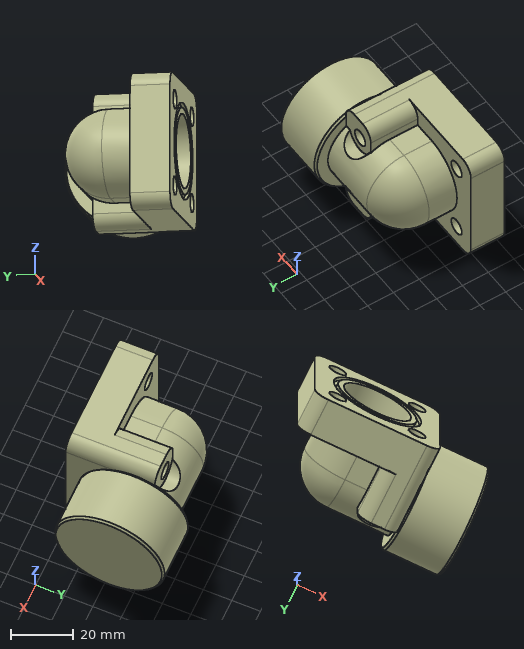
import cadquery as cq
import math

flange_side = 44.8
flange_thickness = 13.1
corner_radius = 4.8
half_side = flange_side / 2

block_width = 14.35
block_height = 31.3

elbow_radius = 14.45
outlet_axis_y = 24.0

collar_radius = 19.2
collar_start_x = 22.0
collar_end_x = 42.5
chamfer_length = 0.85
chamfer_depth = 0.6

bore_diameter = 24.0
bore_depth = 11.7
groove_inner_diameter = 28.1
groove_outer_diameter = 31.2
groove_depth = 1.3

hole_spacing = 28.3
hole_offset = hole_spacing / 2
hole_diameter = 6.0
head_clearance_diameter = 11.9


def y_cylinder(radius, start_y, end_y, x=0, z=0):
    """Cylinder parallel to Y between two Y positions."""
    start = cq.Vector(x, start_y, z)
    return cq.Workplane(cq.Solid.makeCylinder(radius, end_y - start_y, start, cq.Vector(0, 1, 0)))


def rounded_plate(width, right_x, height):
    """Plate of full flange height in Z with rounded corners, standing up from y = 0."""
    plate = cq.Workplane("XY").box(width, height, flange_side).edges("|Y").fillet(corner_radius)
    return plate.translate((right_x - width / 2, height / 2, 0))


def make_flange():
    """Square flange with the taller block along its outlet edge."""
    flange = rounded_plate(flange_side, half_side, flange_thickness)
    return flange.union(rounded_plate(block_width, half_side, block_height))


def make_elbow():
    """Inlet half turned about Y with a spherical end, joined at x = 0 to an outlet half of the same section."""
    arc_offset = elbow_radius * math.sqrt(0.5)
    inlet_half = (
        cq.Workplane("XY")
        .lineTo(elbow_radius, 0)
        .lineTo(elbow_radius, outlet_axis_y)
        .threePointArc((arc_offset, outlet_axis_y + arc_offset), (0, outlet_axis_y + elbow_radius))
        .close()
        .revolve(180, (0, 0, 0), (0, 1, 0))
        .rotate((0, 0, 0), (0, 1, 0), 90)
    )
    outlet_half = (
        cq.Workplane("YZ")
        .moveTo(0, -elbow_radius)
        .lineTo(outlet_axis_y, -elbow_radius)
        .threePointArc((outlet_axis_y + elbow_radius, 0), (outlet_axis_y, elbow_radius))
        .lineTo(0, elbow_radius)
        .close()
        .extrude(half_side)
    )
    return inlet_half.union(outlet_half)


def make_collar():
    """Collar turned about the outlet axis, chamfered at both ends."""
    end_radius = collar_radius - chamfer_depth
    profile = [
        (collar_start_x, 0),
        (collar_start_x, end_radius),
        (collar_start_x + chamfer_length, collar_radius),
        (collar_end_x - chamfer_length, collar_radius),
        (collar_end_x, end_radius),
        (collar_end_x, 0),
    ]
    collar = cq.Workplane("XY").polyline(profile).close().revolve(360, (0, 0, 0), (1, 0, 0))
    return collar.translate((0, outlet_axis_y, 0))


def make_seal_groove():
    """Ring to be removed from the front face around the bore."""
    ring = y_cylinder(groove_outer_diameter / 2, 0, groove_depth)
    return ring.cut(y_cylinder(groove_inner_diameter / 2, 0, groove_depth))


def cut_head_clearance(elbow):
    """Clear the elbow above the block around its two mounting holes."""
    elbow_top_y = outlet_axis_y + elbow_radius
    for z in (-hole_offset, hole_offset):
        elbow = elbow.cut(y_cylinder(head_clearance_diameter / 2, block_height, elbow_top_y, hole_offset, z))
    return elbow


def cut_mounting_holes(body):
    """Four through holes: two in the thin side of the flange, two through the block."""
    for x, hole_top_y in ((-hole_offset, flange_thickness), (hole_offset, block_height)):
        for z in (-hole_offset, hole_offset):
            body = body.cut(y_cylinder(hole_diameter / 2, 0, hole_top_y, x, z))
    return body


body = make_flange().union(cut_head_clearance(make_elbow())).union(make_collar())
body = body.cut(y_cylinder(bore_diameter / 2, 0, bore_depth))
body = body.cut(make_seal_groove())
result = cut_mounting_holes(body)